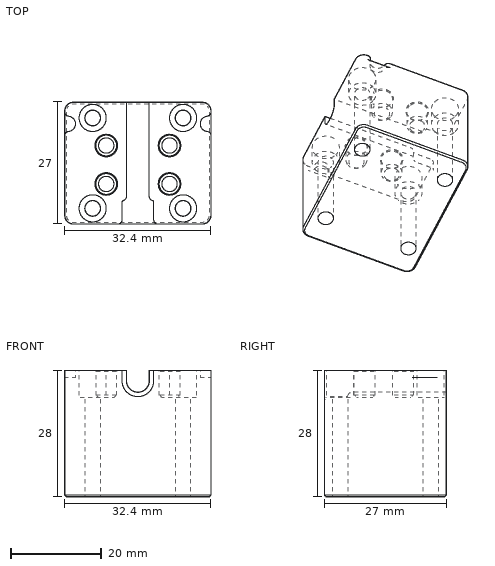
import cadquery as cq
import math

LENGTH_X = 32.4
WIDTH_Y = 27.0
HEIGHT_Z = 28.0
CORNER_RADIUS = 2.0
BASE_CHAMFER = 0.4

CHANNEL_AXIS_DEPTH = 2.3
NARROW_RADIUS = 2.5
WIDE_RADIUS = 3.5
WIDE_LENGTH = 4.85
MOUTH_FILLET = 1.0
STEP_ROUND = 1.0
STEP_COVE = 0.4

SCREW_SPACING = 20.0
SCREW_DIAMETER = 3.4
SCREW_HEAD_DIAMETER = 6.0
SCREW_HEAD_DEPTH = 6.0

INSERT_SPACING_X = 14.0
INSERT_SPACING_Y = 8.5
INSERT_CENTER_Y = -0.35
INSERT_DIAMETER = 4.6
INSERT_DEPTH = 6.0
INSERT_FLOOR_DIAMETER = 3.4
INSERT_RIM_CHAMFER = 0.2

NOTCH_Y = 8.7
NOTCH_RADIUS = 1.7
NOTCH_CENTER_INSET = 0.7
NOTCH_DEPTH = 1.6
NOTCH_LIP_RADIUS = 1.0

OVERCUT = 1.0


def make_block():
    """Plain block with rounded upright edges and a chamfer round the base."""
    block = cq.Workplane("XY").box(LENGTH_X, WIDTH_Y, HEIGHT_Z, centered=(True, True, False))
    return block.edges("|Z").fillet(CORNER_RADIUS).faces("<Z").chamfer(BASE_CHAMFER)


def arc_point(center, radius, angle):
    """Point of a circle at an angle in radians, measured from the first axis."""
    return (center[0] + radius * math.cos(angle), center[1] + radius * math.sin(angle))


def channel_section():
    """Closed half section of the channel as (Y, distance from the channel axis)."""
    front = -WIDTH_Y / 2
    back = WIDTH_Y / 2
    wide_end = front + WIDE_LENGTH

    center_distance = STEP_ROUND + STEP_COVE
    sweep = math.acos(1 - (WIDE_RADIUS - NARROW_RADIUS) / center_distance)
    round_start = wide_end + center_distance * math.sin(sweep)
    round_center = (round_start, NARROW_RADIUS + STEP_ROUND)
    cove_center = (wide_end, WIDE_RADIUS - STEP_COVE)
    mouth_center = (front + MOUTH_FILLET, WIDE_RADIUS + MOUTH_FILLET)

    down = -math.pi / 2
    up = math.pi / 2
    return (
        cq.Workplane("YZ")
        .moveTo(back, 0)
        .lineTo(back, NARROW_RADIUS)
        .lineTo(round_start, NARROW_RADIUS)
        .threePointArc(
            arc_point(round_center, STEP_ROUND, down - sweep / 2),
            arc_point(round_center, STEP_ROUND, down - sweep),
        )
        .threePointArc(
            arc_point(cove_center, STEP_COVE, up - sweep / 2),
            (wide_end, WIDE_RADIUS),
        )
        .lineTo(front + MOUTH_FILLET, WIDE_RADIUS)
        .threePointArc(
            arc_point(mouth_center, MOUTH_FILLET, down - math.pi / 4),
            (front, WIDE_RADIUS + MOUTH_FILLET),
        )
        .lineTo(front, 0)
        .close()
    )


def make_channel():
    """Solid to cut away: a turned body below and the same outline carried straight up."""
    turned = channel_section().revolve(360, (0, 0, 0), (1, 0, 0))
    half_outline = channel_section().extrude(CHANNEL_AXIS_DEPTH + OVERCUT)
    left = half_outline.rotate((0, 0, 0), (0, 1, 0), -90)
    right = left.mirror("YZ")
    channel = turned.union(left).union(right)
    return channel.translate((0, 0, HEIGHT_Z - CHANNEL_AXIS_DEPTH))


def cut_screw_holes(body):
    """Drill the four corner holes through the body, counterbored from the top."""
    return (
        body.faces(">Z")
        .workplane(origin=(0, 0, HEIGHT_Z))
        .rect(SCREW_SPACING, SCREW_SPACING, forConstruction=True)
        .vertices()
        .cboreHole(SCREW_DIAMETER, SCREW_HEAD_DIAMETER, SCREW_HEAD_DEPTH)
    )


def make_insert_holes():
    """Four blind holes, each with a chamfered rim and a 45 degree cone down to a flat floor."""
    radius = INSERT_DIAMETER / 2
    rim_radius = radius + INSERT_RIM_CHAMFER
    floor_radius = INSERT_FLOOR_DIAMETER / 2
    cone_depth = radius - floor_radius
    section = [
        (0, 0),
        (rim_radius, 0),
        (radius, -INSERT_RIM_CHAMFER),
        (radius, cone_depth - INSERT_DEPTH),
        (floor_radius, -INSERT_DEPTH),
        (0, -INSERT_DEPTH),
    ]
    hole = cq.Workplane("XZ").polyline(section).close().revolve()
    holes = cq.Workplane("XY")
    for side_x in (-1, 1):
        for side_y in (-1, 1):
            x = side_x * INSERT_SPACING_X / 2
            y = INSERT_CENTER_Y + side_y * INSERT_SPACING_Y / 2
            holes = holes.add(hole.translate((x, y, HEIGHT_Z)))
    return holes.combine()


def make_notch():
    """Notch in the +X side: a round pocket whose ends flare out tangent to the side."""
    side_x = LENGTH_X / 2
    center = (side_x - NOTCH_CENTER_INSET, NOTCH_Y)
    lip_x = side_x - NOTCH_LIP_RADIUS
    center_distance = NOTCH_RADIUS + NOTCH_LIP_RADIUS
    half_span = math.sqrt(center_distance**2 - (lip_x - center[0]) ** 2)
    upper_lip = (lip_x, NOTCH_Y + half_span)
    lower_lip = (lip_x, NOTCH_Y - half_span)

    lean = math.atan2(half_span, lip_x - center[0])
    upper_joint = arc_point(center, NOTCH_RADIUS, lean)
    lower_joint = arc_point(center, NOTCH_RADIUS, -lean)
    lip_middle = (math.pi - lean) / 2
    return (
        cq.Workplane("XY", origin=(0, 0, HEIGHT_Z - NOTCH_DEPTH))
        .moveTo(side_x, upper_lip[1])
        .threePointArc(arc_point(upper_lip, NOTCH_LIP_RADIUS, -lip_middle), upper_joint)
        .threePointArc((center[0] - NOTCH_RADIUS, NOTCH_Y), lower_joint)
        .threePointArc(arc_point(lower_lip, NOTCH_LIP_RADIUS, lip_middle), (side_x, lower_lip[1]))
        .close()
        .extrude(NOTCH_DEPTH)
    )


notch = make_notch()
result = cut_screw_holes(make_block())
result = result.cut(make_channel())
result = result.cut(make_insert_holes())
result = result.cut(notch).cut(notch.mirror("YZ"))